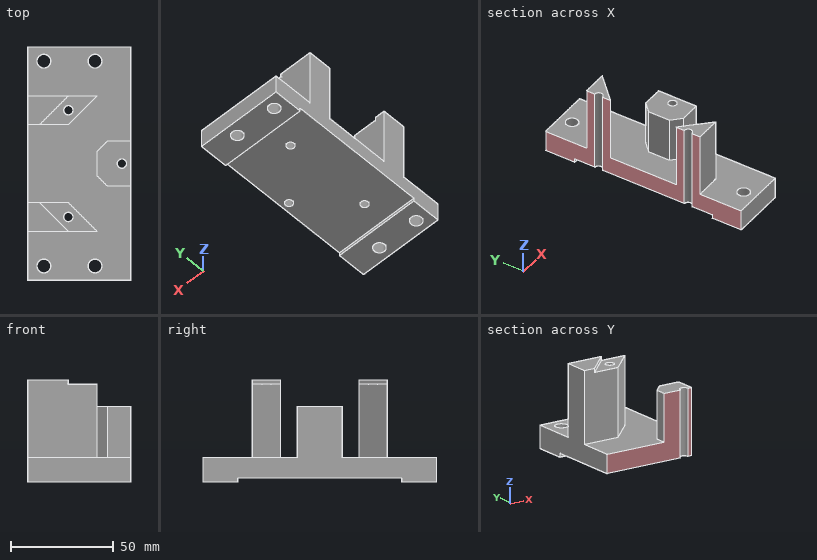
import cadquery as cq

length = 114.0
width = 50.5
total_height = 49.9
base_top = 12.1
foot_length = 17.0
foot_height = 2.0

mount_hole_diameter = 6.6
mount_first_x = 8.0
mount_spacing_x = 25.0
mount_spacing_y = 100.0

post_thickness = 14.0
post_inner_y = 19.0
post_short_length = 20.0
seat_start_x = 5.9
seat_depth = 2.0

stop_width = 22.0
stop_left_x = 34.0
stop_chamfer = 5.0
stop_top = 37.0
stop_hole_x = 46.0

pin_hole_diameter = 4.5

post_outer_y = post_inner_y + post_thickness
post_middle_y = post_inner_y + post_thickness / 2
post_long_length = post_short_length + post_thickness


def make_base():
    base = cq.Workplane("XY").box(width, length, base_top, centered=(False, True, False))
    relief = cq.Workplane("XY").box(
        width, length - 2 * foot_length, foot_height, centered=(False, True, False)
    )
    return base.cut(relief)


def make_post():
    """Post on the +Y side, including the seat cut parallel to its slanted end."""
    post = (
        cq.Workplane("XY", origin=(0, 0, base_top))
        .moveTo(0, post_inner_y)
        .lineTo(post_short_length, post_inner_y)
        .lineTo(post_long_length, post_outer_y)
        .lineTo(0, post_outer_y)
        .close()
        .extrude(total_height - base_top)
    )
    seat = (
        cq.Workplane("XY", origin=(0, 0, total_height - seat_depth))
        .moveTo(seat_start_x, post_inner_y)
        .lineTo(post_short_length, post_inner_y)
        .lineTo(post_long_length, post_outer_y)
        .lineTo(seat_start_x + post_thickness, post_outer_y)
        .close()
        .extrude(seat_depth)
    )
    return post.cut(seat)


def make_stop():
    return (
        cq.Workplane("XY", origin=(stop_left_x, 0, base_top))
        .box(width - stop_left_x, stop_width, stop_top - base_top, centered=(False, True, False))
        .edges("|Z and <X")
        .chamfer(stop_chamfer)
    )


def through_holes(points, diameter):
    return cq.Workplane("XY").pushPoints(points).circle(diameter / 2).extrude(total_height)


mount_points = [
    (x, side * mount_spacing_y / 2)
    for x in (mount_first_x, mount_first_x + mount_spacing_x)
    for side in (-1, 1)
]
pin_points = [
    (post_short_length, -post_middle_y),
    (post_short_length, post_middle_y),
    (stop_hole_x, 0),
]

post = make_post()
result = (
    make_base()
    .union(post)
    .union(post.mirror("XZ"))
    .union(make_stop())
    .cut(through_holes(mount_points, mount_hole_diameter))
    .cut(through_holes(pin_points, pin_hole_diameter))
)